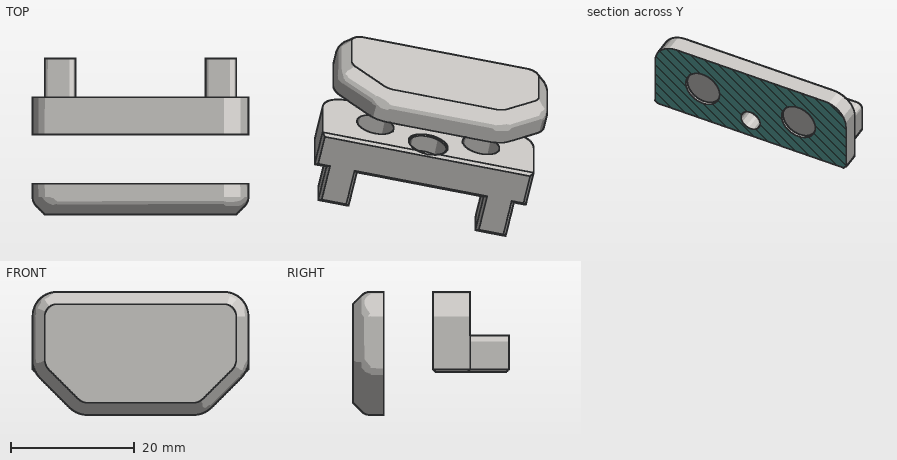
import cadquery as cq

width = 35.0
corner_radius = 4.0

cover_height = 20.0
cover_depth = 5.0
corner_cut = 7.2
lower_corner_radius = 4.35
bevel = 2.0
bevel_blend_radius = 2.0

body_gap = 7.95
plate_depth = 6.05
plate_height = 13.02
leg_length = 6.3
leg_width = 5.05
leg_height = 5.95
leg_spacing = 26.05
leg_top_radius = 1.0
bottom_chamfer = 0.5

pocket_diameter = 6.1
pocket_depth = 3.5
pocket_spacing = 17.5
pocket_height = 6.55
screw_diameter = 3.4
screw_head_diameter = 6.1
screw_rim_chamfer = 0.2
screw_head_depth = 3.0
screw_height = 3.3

plate_front = cover_depth + body_gap
plate_back = plate_front + plate_depth
bracket_bottom = cover_height - plate_height


def y_cylinder(diameter, x, z, start, length):
    """Cylinder along +Y that starts at Y = start."""
    return cq.Workplane(cq.Solid.makeCylinder(
        diameter / 2, length, cq.Vector(x, start, z), cq.Vector(0, 1, 0)
    ))


def make_cover():
    half = width / 2
    outline = [
        (-half, cover_height),
        (half, cover_height),
        (half, corner_cut),
        (half - corner_cut, 0),
        (corner_cut - half, 0),
        (-half, corner_cut),
    ]
    cover = cq.Workplane("XZ").polyline(outline).close().extrude(-cover_depth)
    cover = cover.edges("|Y and >Z").fillet(corner_radius)
    lower_corners = cq.selectors.BoxSelector((-width, -0.35, -0.35), (width, width, cover_height / 2))
    cover = cover.edges("|Y").edges(lower_corners).fillet(lower_corner_radius)
    cover = cover.faces("<Y").chamfer(bevel)
    blend_edge = cq.selectors.BoxSelector(
        (-width, bevel / 2, -width), (width, bevel * 1.5, 2 * width), boundingbox=True
    )
    return cover.edges(blend_edge).fillet(bevel_blend_radius)


def make_leg(x):
    leg = cq.Workplane("XY").box(leg_width, leg_length, leg_height, centered=(True, False, False))
    leg = leg.edges("|Y and >Z").fillet(leg_top_radius)
    return leg.translate((x, plate_back, bracket_bottom))


def make_bracket():
    bracket = cq.Workplane("XY").box(width, plate_depth, plate_height, centered=(True, False, False))
    bracket = bracket.edges("|Y and >Z").fillet(corner_radius)
    bracket = bracket.translate((0, plate_front, bracket_bottom))
    for side in (-1, 1):
        bracket = bracket.union(make_leg(side * leg_spacing / 2))
    bracket = bracket.faces("<Z").chamfer(bottom_chamfer)

    for side in (-1, 1):
        bracket = bracket.cut(y_cylinder(
            pocket_diameter, side * pocket_spacing / 2, bracket_bottom + pocket_height,
            plate_front, pocket_depth,
        ))

    screw_z = bracket_bottom + screw_height
    bracket = bracket.cut(y_cylinder(screw_diameter, 0, screw_z, plate_front, plate_depth))
    bracket = bracket.cut(y_cylinder(screw_head_diameter, 0, screw_z, plate_front, screw_head_depth))
    rim_radius = screw_head_diameter / 2 + screw_rim_chamfer
    rim = cq.Solid.makeCone(
        rim_radius, screw_head_diameter / 2, screw_rim_chamfer,
        cq.Vector(0, plate_front, screw_z), cq.Vector(0, 1, 0),
    )
    return bracket.cut(cq.Workplane(rim))


cover = make_cover()
bracket = make_bracket()
result = cq.Compound.makeCompound([cover.val(), bracket.val()])